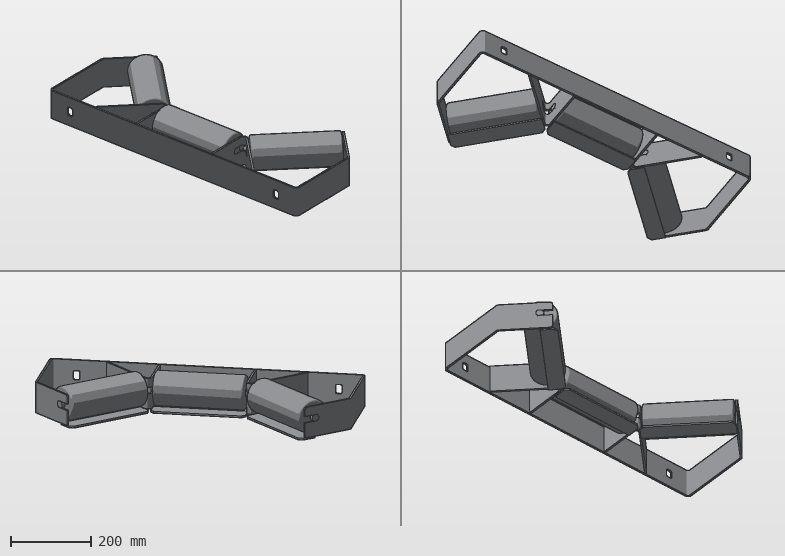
import cadquery as cq
import math

frame_width = 800.0
frame_depth = 306.0
strip_height = 80.0
sheet = 5.0

frame_bend_radius = 11.0
arm_corner_radius = 6.0
bracket_bend_radius = 12.0

support_gap = 238.0
middle_station = (0.0, 101.0)
side_station = (237.0, 196.0)
tilt = 45.0

roller_radius = 89.0 / 2
roller_length = 230.0
roller_edge_radius = 6.0
axis_height = 8.0
shaft_diameter = 20.0
shaft_flat_height = 17.0
shaft_length = support_gap + 2 * sheet

plate_length = 242.0
plate_chamfer = 10.0

mount_slot_offset = 333.0
mount_slot_height = 24.0
mount_slot_width = 17.0
mount_slot_corner_radius = 5.0

shaft_slot_rise = 64.0
shaft_slot_reach = 21.0

cos_tilt = math.cos(math.radians(tilt))
sin_tilt = math.sin(math.radians(tilt))


def left_station_point(along, across):
    """Plan position of a point given in the axes of the left idler."""
    x = -side_station[0] + along * cos_tilt + across * sin_tilt
    y = side_station[1] - along * sin_tilt + across * cos_tilt
    return (x, y)


def left_normal(start, end):
    """Unit normal on the left of the line from start to end."""
    dx = end[0] - start[0]
    dy = end[1] - start[1]
    length = math.hypot(dx, dy)
    return (-dy / length, dx / length)


def thickened(outer):
    """The outer path moved by one sheet thickness to its left, with mitred corners."""
    normals = [left_normal(a, b) for a, b in zip(outer, outer[1:])]
    before = [normals[0]] + normals
    after = normals + [normals[-1]]
    inner = []
    for point, n1, n2 in zip(outer, before, after):
        scale = sheet / (1 + n1[0] * n2[0] + n1[1] * n2[1])
        inner.append((point[0] + scale * (n1[0] + n2[0]), point[1] + scale * (n1[1] + n2[1])))
    return inner


def round_upright_edge(body, point, radius):
    """Fillet the Z-parallel edge that stands at a plan position."""
    at_point = cq.selectors.BoxSelector(
        (point[0] - sheet / 4, point[1] - sheet / 4, -strip_height),
        (point[0] + sheet / 4, point[1] + sheet / 4, strip_height),
    )
    return body.edges("|Z").edges(at_point).fillet(radius)


def bent_strip(outer, bend_radius):
    """Upright sheet strip that follows the outer path and is rounded at each bend."""
    inner = thickened(outer)
    strip = cq.Workplane("XY").polyline(outer + inner[::-1]).close()
    strip = strip.extrude(strip_height).translate((0, 0, -strip_height / 2))
    for outer_corner, inner_corner in zip(outer[1:-1], inner[1:-1]):
        strip = round_upright_edge(strip, outer_corner, bend_radius)
        strip = round_upright_edge(strip, inner_corner, bend_radius - sheet)
    return strip


def at_station(body, side):
    """Move a body from the origin to the left (-1), middle (0) or right (1) station."""
    x = side * side_station[0]
    y = side_station[1] if side else middle_station[1]
    return body.rotate((0, 0, 0), (0, 0, 1), side * tilt).translate((x, y, 0))


def make_round_bar(radius, length):
    """Cylinder along X, centred on the origin."""
    return cq.Workplane("YZ").workplane(offset=-length / 2).circle(radius).extrude(length)


def make_flattened_shaft(length):
    """Round bar along X with flats on its top and bottom."""
    bar = make_round_bar(shaft_diameter / 2, length)
    return bar.intersect(cq.Workplane("XY").box(length, shaft_diameter, shaft_flat_height))


def make_shaft_slots():
    """Cutter for the open slots that hold both ends of a shaft."""
    length = support_gap + 2 * shaft_slot_reach
    throat = cq.Workplane("XY").box(length, shaft_slot_rise, shaft_flat_height)
    throat = throat.translate((0, shaft_slot_rise / 2, 0))
    slots = make_flattened_shaft(length).union(throat)
    return slots.translate((0, 0, axis_height))


def make_frame():
    """Front wall, two side walls and two tilted arms bent from one strip."""
    arm_face = -(support_gap / 2 + sheet)
    arm_rise = (frame_depth - left_station_point(arm_face, 0)[1]) / cos_tilt
    tip_x = left_station_point(arm_face, arm_rise)[0]
    half_width = frame_width / 2
    shoulder_y = frame_depth - (tip_x + half_width) * math.tan(math.radians(tilt))
    outer = [
        (tip_x, frame_depth),
        (-half_width, shoulder_y),
        (-half_width, 0),
        (half_width, 0),
        (half_width, shoulder_y),
        (-tip_x, frame_depth),
    ]
    frame = bent_strip(outer, frame_bend_radius)

    arm_tips = cq.selectors.BoxSelector(
        (-frame_width, frame_depth - sheet, -strip_height),
        (frame_width, frame_depth + sheet, strip_height),
    )
    frame = frame.edges(arm_tips).edges("#Z").fillet(arm_corner_radius)

    mount_slots = (
        cq.Workplane("XY")
        .pushPoints([(-mount_slot_offset, sheet / 2), (mount_slot_offset, sheet / 2)])
        .box(mount_slot_width, sheet, mount_slot_height)
        .edges("|Y")
        .fillet(mount_slot_corner_radius)
    )
    frame = frame.cut(mount_slots)
    for side in (-1, 1):
        frame = frame.cut(at_station(make_shaft_slots(), side))
    return frame


def make_left_bracket():
    """Folded support between the left and middle rollers, standing on the front wall."""
    leg_face = -support_gap / 2
    tilted_face_point = left_station_point(support_gap / 2, 0)
    slope = math.tan(math.radians(tilt))
    apex_y = tilted_face_point[1] + (leg_face - tilted_face_point[0]) * slope
    foot_y = sheet + sheet * cos_tilt
    foot_x = leg_face - (apex_y - foot_y) / slope
    outer = [(leg_face, sheet), (leg_face, apex_y), (foot_x, foot_y)]
    bracket = bent_strip(outer, bracket_bend_radius)
    for side in (-1, 0):
        bracket = bracket.cut(at_station(make_shaft_slots(), side))
    return bracket


def make_roller():
    """Roller with its shaft, lying along X at the origin."""
    drum = make_round_bar(roller_radius, roller_length)
    drum = drum.faces("<X or >X").edges().fillet(roller_edge_radius)
    roller = drum.union(make_flattened_shaft(shaft_length))
    return roller.translate((0, 0, axis_height))


def make_cover_plate():
    """Flat plate under the open half of a roller, against the underside of the supports."""
    plate = cq.Workplane("XY").box(plate_length, roller_radius, sheet)
    plate = plate.edges("|Z and >Y").chamfer(plate_chamfer)
    return plate.translate((0, roller_radius / 2, -(strip_height + sheet) / 2))


frame = make_frame()
left_bracket = make_left_bracket()
brackets = [left_bracket, left_bracket.mirror("YZ")]
rollers = [at_station(make_roller(), side) for side in (-1, 0, 1)]
cover_plates = [at_station(make_cover_plate(), side) for side in (-1, 0, 1)]

result = cq.Compound.makeCompound(
    [body.val() for body in [frame, *brackets, *rollers, *cover_plates]]
)